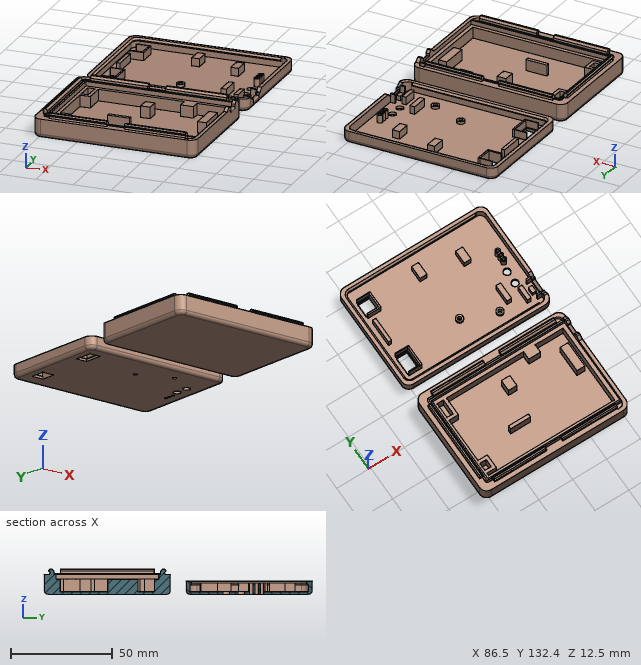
import cadquery as cq
import math


width = 86.5
depth = 62.4
overall_depth = 132.4
base_height = 9.9
lid_height = 6.6
floor = 1.5
corner_radius = 4.2
bottom_radius = 2.0
wall = 2.0
interior_radius = 3.5

half_width = width / 2
half_depth = depth / 2
center_offset = (overall_depth - depth) / 2
wall_x = half_width - wall
snap_end = half_width - 6.1

opening_offset = 19.5
opening_foot = 7.4
opening_top = 5.3
opening_rise = 1.9
opening_mouth = 4.4
opening_flare = 1.0

ledge_z = 7.5
ledge_west = -37.2
ledge_half_depth = 25.3
cavity_west = -35.4
cavity_east = 39.0
cavity_half_depth = 23.2

lip_inset = 4.1
lip_inner_inset = 5.0
lip_height = 0.4
lip_radius = 1.3

hook_gap = 4.8
hook_profile = [
    (2.5, 0),
    (2.9, 0.9),
    (2.3, 1.6),
    (2.3, 2.0),
    (2.9, 2.6),
    (3.8, 2.6),
    (4.9, 1.6),
    (lip_inner_inset, 0),
]

base_blocks = [
    (cavity_west, -29.8, 12.5, cavity_half_depth),
    (cavity_west, -29.8, -21.7, -13.5),
    (15.8, 22.6, 18.4, cavity_half_depth),
    (-2.0, 3.0, 9.8, 16.2),
    (-12.5, -0.7, -8.1, -6.2),
    (32.2, 36.8, 0.1, 15.2),
]
base_pockets = [
    (cavity_west, -31.6, 14.3, cavity_half_depth),
    (cavity_west, -31.6, -19.9, -15.4),
]
base_saddle_half = 2.9
base_saddle_depth = 2.6

bead_size = 0.99
lid_block_z = 5.7
lid_blocks = [
    (-4.8, -0.7, 15.0, 22.6),
    (18.0, 22.1, 9.9, 17.6),
    (24.4, 27.1, -18.8, -8.9),
    (33.1, 35.4, -23.8, -15.6),
    (-36.7, -34.8, -5.2, 9.0),
]
cable_block = (37.6, 39.9, -21.6, -17.9)
cable_block_z = 4.0
window_west = -37.2
frame_east = -29.4
frame_inner_east = -30.3

boss_places = [(0.4, -12.7), (19.2, -20.4)]
boss_diameter = 4.1
boss_hole = 2.0
boss_z = 2.9

socket_x = 35.5
socket_first_y = 1.0
socket_pitch = 2.6
socket_count = 3
socket_diameter = 2.9
socket_hole = 1.6

light_holes = [(34.2, -4.0), (34.2, -11.3)]
light_hole_diameter = 4.0

notch_clearance = 0.1
notch_z = lid_height - opening_rise
rib_start = 38.5
rib_z = 6.2
lid_saddle_half = 3.8
lid_saddle_depth = 1.3


def box(area, z0, z1):
    """Box over an area, between two heights."""
    x0, x1, y0, y1 = area
    return cq.Workplane("XY").box(x1 - x0, y1 - y0, z1 - z0, centered=False).translate((x0, y0, z0))


def cylinder(x, y, diameter, height):
    """Upright cylinder standing on Z = 0."""
    return cq.Workplane("XY").center(x, y).circle(diameter / 2).extrude(height)


def shell_blank(height):
    """Solid half with rounded vertical corners and a rounded bottom edge."""
    blank = cq.Workplane("XY").rect(width, depth).extrude(height)
    return blank.edges("|Z").fillet(corner_radius).faces("<Z").edges().fillet(bottom_radius)


def wall_interior(z0, z1):
    """Space inside the walls between two heights."""
    plane = cq.Workplane("XY").workplane(offset=z0)
    space = plane.rect(width - 2 * wall, depth - 2 * wall).extrude(z1 - z0)
    return space.edges("|Z").fillet(interior_radius)


def wall_trapezoid(y_mid, half_low, z_low, half_high, z_high):
    """Trapezoid prism through the thickness of the +X wall."""
    outline = [
        (y_mid - half_low, z_low),
        (y_mid + half_low, z_low),
        (y_mid + half_high, z_high),
        (y_mid - half_high, z_high),
    ]
    return cq.Workplane("YZ").workplane(offset=wall_x).polyline(outline).close().extrude(wall)


def saddle_cut(y_mid, half_bottom, saddle_depth, z_top):
    """Opening through the +X wall: upright sides, a 45 degree mouth and a rounded outer edge."""
    z_bottom = z_top - saddle_depth
    z_mouth = z_top - (opening_mouth - half_bottom)
    sides = (y_mid - half_bottom, y_mid + half_bottom)
    flare_x = half_width - opening_flare
    flare_z = z_bottom - opening_flare
    mouth = wall_trapezoid(y_mid, half_bottom, z_mouth, opening_mouth, z_top)
    slot = box((wall_x, half_width, *sides), z_bottom, z_mouth)
    flare = box((flare_x, half_width, *sides), flare_z, z_bottom)
    rounding = cq.Workplane("XZ", origin=(flare_x, y_mid + half_bottom, flare_z))
    rounding = rounding.circle(opening_flare).extrude(2 * half_bottom)
    return mouth.union(slot).union(flare.cut(rounding))


def hook(length):
    """Hook strip running along +Y, with the outer wall face at X = 0."""
    outline = [(inset, base_height + height) for inset, height in hook_profile]
    return cq.Workplane("XZ").polyline(outline).close().extrude(-length)


def hooks():
    """One hook along the -X side and two along each long side."""
    strips = hook(2 * cavity_half_depth).translate((-half_width, -cavity_half_depth, 0))
    for start, end in [(cavity_west, -hook_gap), (hook_gap, snap_end)]:
        front = hook(end - start).rotate((0, 0, 0), (0, 0, 1), 90).translate((end, -half_depth, 0))
        strips = strips.union(front).union(front.mirror("XZ"))
    return strips


def lip():
    """Low lip along the three sides that carry hooks."""
    def frame(inset):
        y = half_depth - inset
        return box((inset - half_width, snap_end, -y, y), base_height, base_height + lip_height)

    return frame(lip_inset).edges("|Z and <X").fillet(lip_radius).cut(frame(lip_inner_inset))


def corner_pits():
    """Pits in the +X corners, between the hooks' ends and the rounded wall."""
    y_inner = half_depth - lip_inner_inset
    corners = box((snap_end, half_width, -half_depth, half_depth), ledge_z, base_height)
    between = box((snap_end, half_width, -y_inner, y_inner), ledge_z, base_height)
    return wall_interior(ledge_z, base_height).intersect(corners.cut(between))


def make_base():
    base = shell_blank(base_height)
    recess = (ledge_west, wall_x, -ledge_half_depth, ledge_half_depth)
    cavity = (cavity_west, cavity_east, -cavity_half_depth, cavity_half_depth)
    base = base.cut(box(recess, ledge_z, base_height)).cut(box(cavity, floor, base_height))
    base = base.cut(corner_pits()).union(lip()).union(hooks())

    for area in base_blocks:
        base = base.union(box(area, floor, ledge_z))
    for area in base_pockets:
        base = base.cut(box(area, floor, ledge_z))

    top = base_height + opening_rise
    base = base.union(wall_trapezoid(opening_offset, opening_foot, base_height, opening_top, top))
    return base.cut(saddle_cut(opening_offset, base_saddle_half, base_saddle_depth, top))


def bead():
    """Triangular bead inside the rim, along both long sides and around the -X side."""
    x = half_width - wall
    y = half_depth - wall
    r = interior_radius
    mid = r * (1 - math.sqrt(0.5))
    path = (
        cq.Workplane("XY", origin=(0, 0, lid_height))
        .moveTo(snap_end, y)
        .lineTo(r - x, y)
        .threePointArc((mid - x, y - mid), (-x, y - r))
        .lineTo(-x, r - y)
        .threePointArc((mid - x, mid - y), (r - x, -y))
        .lineTo(snap_end, -y)
    )
    section = (
        cq.Workplane("YZ", origin=(snap_end, y, lid_height))
        .polyline([(0, 0), (-bead_size, -bead_size), (0, -2 * bead_size)])
        .close()
    )
    return section.sweep(path)


def add_window(lid, frame_span, inner_span, hole_span, hole_east):
    """Window through the floor in a three-sided frame; spans are (start, end) along Y."""
    frame = box((window_west, frame_east, *frame_span), floor, lid_block_z)
    inside = box((window_west, frame_inner_east, *inner_span), floor, lid_block_z)
    hole = box((window_west, hole_east, *hole_span), 0, floor)
    return lid.union(frame.cut(inside)).cut(hole)


def add_bosses(lid):
    """Low round bosses, each with a hole through the floor."""
    for x, y in boss_places:
        lid = lid.union(cylinder(x, y, boss_diameter, boss_z))
        lid = lid.cut(cylinder(x, y, boss_hole, boss_z))
    return lid


def add_sockets(lid):
    """Row of merged tubes, each open through the floor."""
    rows = [socket_first_y + i * socket_pitch for i in range(socket_count)]
    for y in rows:
        lid = lid.union(cylinder(socket_x, y, socket_diameter, lid_block_z))
    for y in rows:
        lid = lid.cut(cylinder(socket_x, y, socket_hole, lid_block_z))
    return lid


def add_cable_opening(lid):
    """Notch for the base's raised block, two ribs beside it and the opening's other half."""
    y_mid = -opening_offset
    notch_foot = opening_foot - notch_clearance
    lid = lid.cut(wall_trapezoid(y_mid, opening_top, notch_z, notch_foot, lid_height))
    for y0, y1 in [(-opening_top, -opening_mouth), (opening_mouth, opening_top)]:
        lid = lid.union(box((rib_start, wall_x, y_mid + y0, y_mid + y1), floor, rib_z))
    return lid.cut(saddle_cut(y_mid, lid_saddle_half, lid_saddle_depth, notch_z))


def make_lid():
    lid = shell_blank(lid_height).cut(wall_interior(floor, lid_height)).union(bead())
    for area in lid_blocks:
        lid = lid.union(box(area, floor, lid_block_z))
    lid = lid.union(box(cable_block, floor, cable_block_z))
    lid = add_window(lid, (12.6, 22.6), (13.5, 22.2), (13.5, 21.7), frame_inner_east)
    lid = add_window(lid, (-24.4, -12.0), (-23.8, -12.5), (-23.5, -13.0), -30.8)
    lid = add_sockets(add_bosses(lid))
    for x, y in light_holes:
        lid = lid.cut(cylinder(x, y, light_hole_diameter, floor))
    return add_cable_opening(lid)


base = make_base().translate((0, -center_offset, 0))
lid = make_lid().translate((0, center_offset, 0))
result = cq.Compound.makeCompound([base.val(), lid.val()])